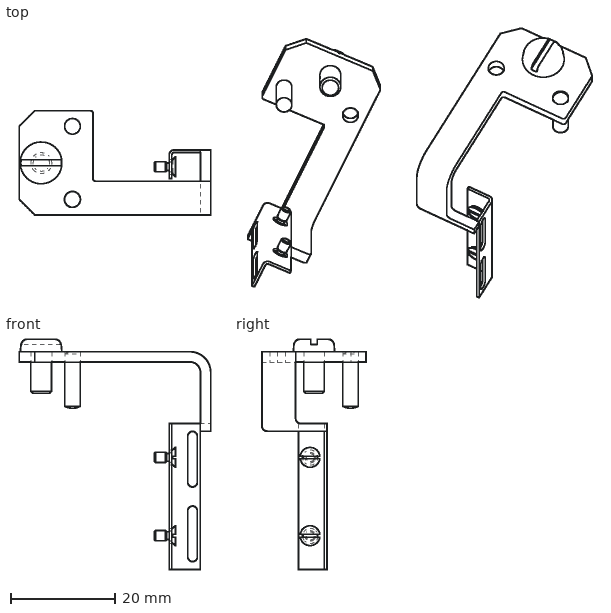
import cadquery as cq
import math

length = 36.7
plate_depth = 20.0
plate_width = 14.15
sheet = 2.0
arm_depth = 6.5
corner_chamfer = 3.0
plate_fillet = 0.5
bend_radius = 4.0
leg_drop = 15.25
foot_height = 1.5
foot_reach = 12.5
leg_fillet = 1.0
leg_face_x = length - sheet

bolt_x = 4.2
bolt_y = plate_depth / 2
pin_diameter = 3.0
pin_x = bolt_x + 6.0
pin_spacing = 14.0
pin_y = bolt_y + pin_spacing / 2
spare_hole_y = bolt_y - pin_spacing / 2

bolt_diameter = 4.0
bolt_tip_diameter = 3.14
bolt_length = 8.0
bolt_head_diameter = 8.0
bolt_head_height = 2.4
bolt_head_side_height = 1.35
bolt_head_shoulder_diameter = 7.75
bolt_head_flat_diameter = 5.3
bolt_slot_width = 1.2
bolt_slot_depth = 1.0

pin_body_length = 10.0
pin_dome_radius = 2.8

strip_length = 28.0
strip_width = 6.0
flange_width = 5.5
strip_thickness = 0.55
strip_bend_radius = 1.0
strip_top = -leg_drop + foot_height
strip_middle = strip_top - strip_length / 2
strip_x = leg_face_x - strip_width
slot_length = 10.6
slot_width = 1.8
slot_spacing = 14.3
slot_edge_distance = 1.5

screw_diameter = 2.0
screw_core_diameter = 1.52
screw_head_diameter = 3.8
screw_rim = 0.1
screw_length = 4.1
screw_head_projection = 1.27
screw_thread_length = 2.13
screw_slot_width = 0.5
screw_slot_depth = 0.6
screw_hole_diameter = 2.9
screw_spacing = 15.0
screw_y = 9.25


def round_bar(x, y, diameter, bottom, top):
    return cq.Workplane("XY", origin=(x, y, bottom)).circle(diameter / 2).extrude(top - bottom)


def make_bracket():
    side = (
        cq.Workplane("XZ")
        .rect(length, -leg_drop, centered=False)
        .extrude(-plate_depth)
        .edges("|Y and >X and >Z")
        .fillet(bend_radius)
    )
    inside = (
        cq.Workplane("XZ", origin=(0, 0, -sheet))
        .rect(leg_face_x, -leg_drop, centered=False)
        .extrude(-plate_depth)
        .edges("|Y and >X and >Z")
        .fillet(bend_radius - sheet)
    )
    bent_sheet = side.cut(inside)

    flat = (
        cq.Workplane("XY")
        .moveTo(corner_chamfer, 0)
        .lineTo(length, 0)
        .lineTo(length, arm_depth)
        .lineTo(plate_width, arm_depth)
        .lineTo(plate_width, plate_depth)
        .lineTo(corner_chamfer, plate_depth)
        .lineTo(0, plate_depth - corner_chamfer)
        .lineTo(0, corner_chamfer)
        .close()
        .extrude(-leg_drop)
    )
    inner_corner = cq.selectors.NearestToPointSelector((plate_width, arm_depth, -leg_drop / 2))
    outer_corner = cq.selectors.NearestToPointSelector((plate_width, plate_depth, -leg_drop / 2))
    flat = flat.edges(inner_corner).fillet(plate_fillet)
    flat = flat.edges(outer_corner).fillet(plate_fillet)
    bracket = bent_sheet.intersect(flat)

    foot = cq.Workplane("XY", origin=(leg_face_x, 0, -leg_drop)).box(
        sheet, foot_reach, foot_height, centered=False
    )
    bracket = bracket.union(foot)
    foot_corner = cq.selectors.NearestToPointSelector((length - sheet / 2, arm_depth, strip_top))
    bracket = bracket.edges(foot_corner).fillet(leg_fillet)
    bracket = bracket.edges("|X and <Y and <Z").fillet(leg_fillet)

    bracket = bracket.cut(round_bar(bolt_x, bolt_y, bolt_diameter, -sheet, 0))
    for y in (pin_y, spare_hole_y):
        bracket = bracket.cut(round_bar(pin_x, y, pin_diameter, -sheet, 0))
    return bracket


def make_bolt():
    radius = bolt_diameter / 2
    tip_radius = bolt_tip_diameter / 2
    shoulder = bolt_head_shoulder_diameter / 2
    flat = bolt_head_flat_diameter / 2
    crown = bolt_head_height - bolt_head_side_height
    crown_width = shoulder - flat
    crown_radius = (crown_width**2 + crown**2) / (2 * crown)
    half_angle = math.atan(crown / crown_width)
    arc_middle = (
        flat + crown_radius * math.sin(half_angle),
        bolt_head_height - crown_radius * (1 - math.cos(half_angle)),
    )
    bolt = (
        cq.Workplane("XZ")
        .moveTo(0, -bolt_length)
        .lineTo(tip_radius, -bolt_length)
        .lineTo(radius, -bolt_length + radius - tip_radius)
        .lineTo(radius, 0)
        .lineTo(bolt_head_diameter / 2, 0)
        .lineTo(shoulder, bolt_head_side_height)
        .threePointArc(arc_middle, (flat, bolt_head_height))
        .lineTo(0, bolt_head_height)
        .close()
        .revolve(360, (0, 0), (0, 1))
    )
    slot = cq.Workplane("XY", origin=(0, 0, bolt_head_height - bolt_slot_depth)).box(
        bolt_head_diameter, bolt_slot_width, bolt_slot_depth, centered=(True, True, False)
    )
    return bolt.cut(slot).translate((bolt_x, bolt_y, 0))


def make_pin():
    radius = pin_diameter / 2
    dome = pin_dome_radius - math.sqrt(pin_dome_radius**2 - radius**2)
    half_angle = math.asin(radius / pin_dome_radius) / 2
    middle_radius = pin_dome_radius * math.sin(half_angle)
    middle_drop = pin_dome_radius * (1 - math.cos(half_angle))
    pin_length = pin_body_length + 2 * dome
    return (
        cq.Workplane("XZ")
        .moveTo(0, 0)
        .threePointArc((middle_radius, -middle_drop), (radius, -dome))
        .lineTo(radius, -dome - pin_body_length)
        .threePointArc((middle_radius, middle_drop - pin_length), (0, -pin_length))
        .close()
        .revolve(360, (0, 0), (0, 1))
        .translate((pin_x, pin_y, 0))
    )


def screw_heights():
    return [strip_middle + side * screw_spacing / 2 for side in (1, -1)]


def make_strip():
    base_z = strip_top - strip_length
    corner = (strip_x, foot_reach - flange_width, base_z)
    outside = (
        cq.Workplane("XY", origin=corner)
        .rect(strip_width, flange_width, centered=False)
        .extrude(strip_length)
        .edges("|Z and <X and >Y")
        .fillet(strip_bend_radius)
    )
    inside = (
        cq.Workplane("XY", origin=corner)
        .moveTo(strip_thickness, 0)
        .rect(strip_width - strip_thickness, flange_width - strip_thickness, centered=False)
        .extrude(strip_length)
        .edges("|Z and <X and >Y")
        .fillet(strip_bend_radius - strip_thickness)
    )
    slots = (
        cq.Workplane("XZ", origin=(leg_face_x - slot_edge_distance, foot_reach, strip_middle))
        .pushPoints([(0, -slot_spacing / 2), (0, slot_spacing / 2)])
        .slot2D(slot_length, slot_width, 90)
        .extrude(strip_thickness)
    )
    strip = outside.cut(inside).cut(slots)
    for z in screw_heights():
        hole = (
            cq.Workplane("YZ", origin=(strip_x, screw_y, z))
            .circle(screw_hole_diameter / 2)
            .extrude(strip_thickness)
        )
        strip = strip.cut(hole)
    return strip


def make_screw(z):
    radius = screw_diameter / 2
    core = screw_core_diameter / 2
    head = screw_head_diameter / 2
    chamfer = radius - core
    cone_end = screw_length - screw_rim
    cone_start = cone_end - (head - core)
    screw = (
        cq.Workplane("XY")
        .moveTo(0, 0)
        .lineTo(0, core)
        .lineTo(chamfer, radius)
        .lineTo(screw_thread_length, radius)
        .lineTo(screw_thread_length + chamfer, core)
        .lineTo(cone_start, core)
        .lineTo(cone_end, head)
        .lineTo(screw_length, head)
        .lineTo(screw_length, 0)
        .close()
        .revolve(360, (0, 0), (1, 0))
    )
    slot = cq.Workplane("XY", origin=(screw_length - screw_slot_depth, 0, 0)).box(
        screw_slot_depth, screw_head_diameter, screw_slot_width, centered=(False, True, True)
    )
    tip_x = strip_x + screw_head_projection - screw_length
    return screw.cut(slot).translate((tip_x, screw_y, z))


bracket = make_bracket()
bolt = make_bolt()
pin = make_pin()
strip = make_strip()
screws = [make_screw(z) for z in screw_heights()]

result = cq.Compound.makeCompound(
    [bracket.val(), bolt.val(), pin.val(), strip.val(), *[screw.val() for screw in screws]]
)